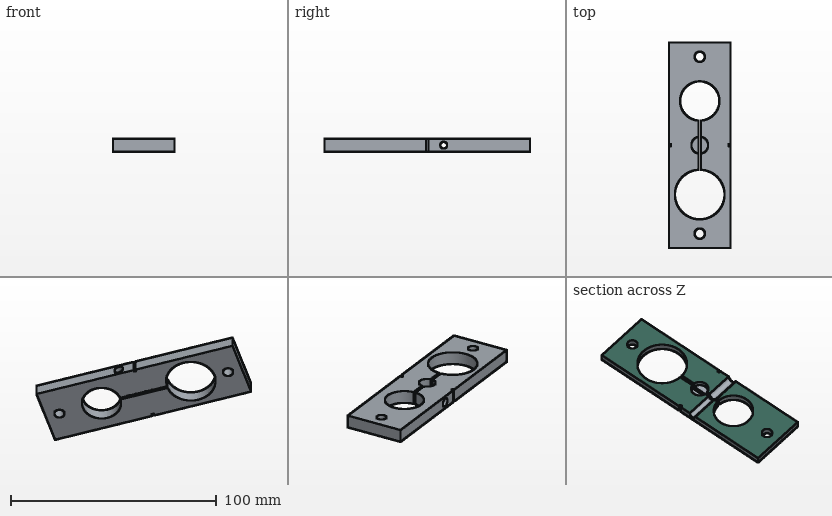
import cadquery as cq

width = 30.0
length = 100.0
thickness = 6.5

mount_diameter = 4.9
mount_offset = 43.0
small_bore_diameter = 19.0
small_bore_y = 21.5
large_bore_diameter = 24.0
large_bore_y = -24.0

slit_width = 1.0
pocket_diameter = 8.2
pocket_depth = 5.5

notch_width = 1.0
notch_depth = 1.0

screw_y = 8.0
screw_clearance_diameter = 4.3
screw_thread_diameter = 3.2


def vertical_cylinder(y, diameter, bottom, height):
    """Cylinder along Z on the plate's centre line."""
    return cq.Workplane("XY", origin=(0, y, bottom)).circle(diameter / 2).extrude(height)


def cross_cylinder(diameter, start_x, reach):
    """Cylinder along +X on the screw axis."""
    return cq.Workplane("YZ", origin=(start_x, screw_y, 0)).circle(diameter / 2).extrude(reach)


result = cq.Workplane("XY").box(width, length, thickness)

through_holes = [
    (mount_offset, mount_diameter),
    (-mount_offset, mount_diameter),
    (small_bore_y, small_bore_diameter),
    (large_bore_y, large_bore_diameter),
]
for hole_y, hole_diameter in through_holes:
    result = result.cut(vertical_cylinder(hole_y, hole_diameter, -thickness / 2, thickness))

slit_length = small_bore_y - large_bore_y
slit_middle = (small_bore_y + large_bore_y) / 2
slit = cq.Workplane("XY").box(slit_width, slit_length, thickness)
result = result.cut(slit.translate((0, slit_middle, 0)))

pocket_floor = thickness / 2 - pocket_depth
result = result.cut(vertical_cylinder(0, pocket_diameter, pocket_floor, pocket_depth))

for side in (-1, 1):
    notch = cq.Workplane("XY").box(notch_depth, notch_width, thickness)
    result = result.cut(notch.translate((side * (width - notch_depth) / 2, 0, 0)))

result = result.cut(cross_cylinder(screw_clearance_diameter, -width / 2, width / 2))
result = result.cut(cross_cylinder(screw_thread_diameter, 0, width / 2))